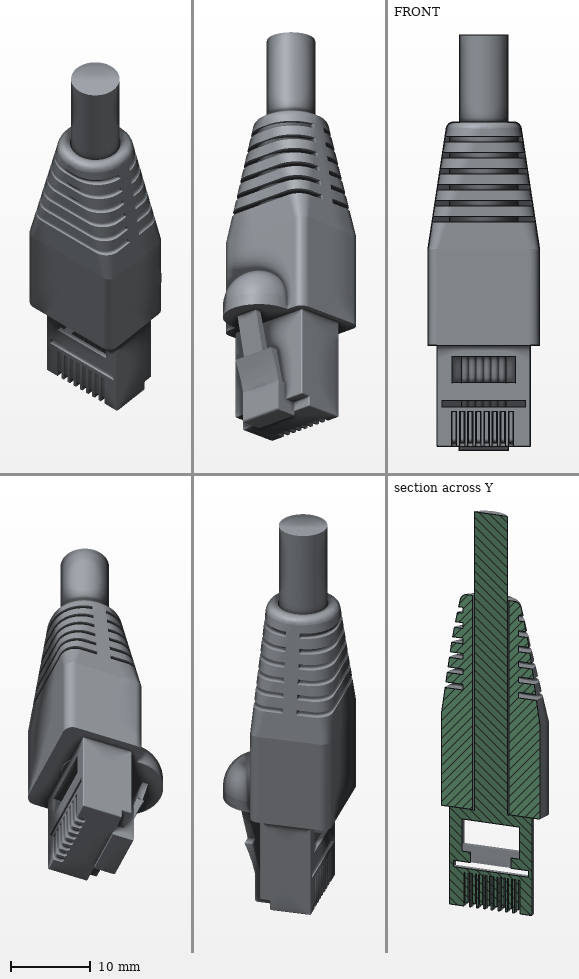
import cadquery as cq

CABLE_DIAMETER = 6.1
CABLE_TOP = 38.8

BOOT_WIDTH = 14.0
BOOT_DEPTH = 10.5
BOOT_CORNER_RADIUS = 1.25
BOOT_STRAIGHT_HEIGHT = 12.0
BOOT_TOP = 27.9
BOOT_TOP_RADIUS = 4.55
BOOT_TOP_FILLET = 0.95
BOOT_BORE_DIAMETER = 6.35
TOP_FLAT = 0.01

GROOVE_COUNT = 6
GROOVE_HEIGHT = 0.7
GROOVE_PITCH = 2.0
GROOVE_FIRST_Z = 15.45
GROOVE_CORE_DIAMETER = 8.8
SPINE_WIDTH = 1.75

OVERALL_DEPTH = 15.5
HOOD_RADIUS = 4.5
HOOD_CENTER_Y = OVERALL_DEPTH - BOOT_DEPTH / 2 - HOOD_RADIUS
HOOD_CENTER_Z = 1.45

PLUG_WIDTH = 11.7
PLUG_FRONT_Y = -2.6
PLUG_BACK_Y = 4.0
PLUG_LENGTH = 12.7
PLUG_EDGE_FILLET = 0.15
NOTCH_Y = 2.7
NOTCH_HEIGHT = 1.3

WINDOW_WIDTH = 8.0
WINDOW_TOP = -1.4
WINDOW_BOTTOM = -4.7
WINDOW_WALL = 0.55
CAVITY_BOTTOM = -5.5
CAVITY_DEPTH = 2.6
CAVITY_SIDE_RISE = 0.35
CRIMP_SLOT_WIDTH = 10.5
CRIMP_SLOT_TOP = -6.9
CRIMP_SLOT_BOTTOM = -7.7
WIRE_COUNT = 6
WIRE_PITCH = 0.95

CONTACT_COUNT = 8
CONTACT_PITCH = 1.02
CONTACT_CENTER_X = -0.15
CONTACT_WIDTH = 0.45
CONTACT_RECESS = 0.15
CONTACT_BOTTOM = -12.2
CONTACT_ROUND = 0.45
CONTACT_SLOT_WIDTH = 0.7
CONTACT_SLOT_TOP = -8.3
CONTACT_SLOT_DEPTH = 1.3

LATCH_WIDTH = 6.2
LATCH_TIP_WIDTH = 3.2
LATCH_BASE_BOTTOM = -13.15
LATCH_BASE_FRONT_Y = 2.55
LATCH_BASE_BACK_Y = 5.4
LATCH_BASE_TOP = -9.2
LATCH_BASE_ROUND = 0.35
LATCH_ROOT_Y = 4.7
LATCH_TIP_Y = (7.1, 7.9)
LATCH_BEND = (6.75, -5.15)
LATCH_CURVE_MIDDLE = (6.15, -6.65)


def block(width, y_range, z_range, center_x=0.0):
    """Box of the given X width between two Y and two Z positions."""
    depth = y_range[1] - y_range[0]
    height = z_range[1] - z_range[0]
    corner = (center_x - width / 2, y_range[0], z_range[0])
    return cq.Workplane("XY").box(width, depth, height, centered=False).translate(corner)


def rounded_outline(width, depth, radius, z):
    """Rounded rectangle as a sketch placed at height z."""
    outline = cq.Sketch().rect(width, depth).vertices().fillet(radius)
    return outline.moved(cq.Location(cq.Vector(0, 0, z)))


def make_groove(bottom_z):
    """Ring cut from the boot, leaving a round core and a spine on each side."""
    ring = block(BOOT_WIDTH, (-BOOT_DEPTH, BOOT_DEPTH), (bottom_z, bottom_z + GROOVE_HEIGHT))
    core = cq.Workplane("XY", origin=(0, 0, bottom_z)).circle(GROOVE_CORE_DIAMETER / 2).extrude(GROOVE_HEIGHT)
    spine = block(BOOT_WIDTH, (-SPINE_WIDTH / 2, SPINE_WIDTH / 2), (bottom_z, bottom_z + GROOVE_HEIGHT))
    return ring.cut(core).cut(spine)


def make_hood():
    """Arch standing on the boot's back, ending in a quarter sphere over a half cylinder."""
    arch = (
        cq.Workplane("XZ")
        .moveTo(-HOOD_RADIUS, 0)
        .lineTo(-HOOD_RADIUS, HOOD_CENTER_Z)
        .threePointArc((0, HOOD_CENTER_Z + HOOD_RADIUS), (HOOD_RADIUS, HOOD_CENTER_Z))
        .lineTo(HOOD_RADIUS, 0)
        .close()
        .extrude(-HOOD_CENTER_Y)
    )
    end_profile = (
        cq.Workplane("XZ", origin=(0, HOOD_CENTER_Y, 0))
        .lineTo(HOOD_RADIUS, 0)
        .lineTo(HOOD_RADIUS, HOOD_CENTER_Z)
        .radiusArc((0, HOOD_CENTER_Z + HOOD_RADIUS), -HOOD_RADIUS)
        .close()
    )
    end = end_profile.revolve(180, (0, 0, 0), (0, 1, 0))
    return arch.union(end)


def make_boot():
    base = (BOOT_WIDTH, BOOT_DEPTH, BOOT_CORNER_RADIUS)
    straight = (
        cq.Workplane("XY")
        .placeSketch(rounded_outline(*base, 0))
        .extrude(BOOT_STRAIGHT_HEIGHT)
    )
    top_size = 2 * BOOT_TOP_RADIUS
    taper = (
        cq.Workplane("XY")
        .placeSketch(
            rounded_outline(*base, BOOT_STRAIGHT_HEIGHT),
            rounded_outline(top_size, top_size, BOOT_TOP_RADIUS - TOP_FLAT / 2, BOOT_TOP),
        )
        .loft(ruled=True)
        .faces(">Z")
        .edges()
        .fillet(BOOT_TOP_FILLET)
    )
    for index in range(GROOVE_COUNT):
        taper = taper.cut(make_groove(GROOVE_FIRST_Z + index * GROOVE_PITCH))
    bore = cq.Workplane("XY").circle(BOOT_BORE_DIAMETER / 2).extrude(BOOT_TOP)
    return straight.union(taper).union(make_hood()).cut(bore)


def make_plug_shell():
    """Plug block with a notch for the latch base along its lower back edge."""
    shell = block(PLUG_WIDTH, (PLUG_FRONT_Y, PLUG_BACK_Y), (-PLUG_LENGTH, 0))
    notch = block(PLUG_WIDTH, (NOTCH_Y, PLUG_BACK_Y), (-PLUG_LENGTH, -PLUG_LENGTH + NOTCH_HEIGHT))
    return shell.cut(notch).edges("not >Z").fillet(PLUG_EDGE_FILLET)


def make_wire_openings():
    """Window, the cavity behind it, the crimp slot and the channel that carries the wires from
    one to the other, less the row of wires themselves."""
    floor_y = PLUG_FRONT_Y + CAVITY_DEPTH
    wires_width = WIRE_COUNT * WIRE_PITCH
    window = block(WINDOW_WIDTH, (PLUG_FRONT_Y, PLUG_FRONT_Y + WINDOW_WALL), (WINDOW_BOTTOM, WINDOW_TOP))
    cavity = (
        cq.Workplane("XY", origin=(0, 0, CAVITY_BOTTOM))
        .moveTo(-WINDOW_WIDTH / 2, PLUG_FRONT_Y + WINDOW_WALL)
        .lineTo(WINDOW_WIDTH / 2, PLUG_FRONT_Y + WINDOW_WALL)
        .lineTo(WINDOW_WIDTH / 2, floor_y - CAVITY_SIDE_RISE)
        .lineTo(wires_width / 2, floor_y)
        .lineTo(-wires_width / 2, floor_y)
        .lineTo(-WINDOW_WIDTH / 2, floor_y - CAVITY_SIDE_RISE)
        .close()
        .extrude(WINDOW_TOP - CAVITY_BOTTOM)
    )
    crimp_slot = block(CRIMP_SLOT_WIDTH, (PLUG_FRONT_Y, floor_y), (CRIMP_SLOT_BOTTOM, CRIMP_SLOT_TOP))
    channel_y = (PLUG_FRONT_Y + WINDOW_WALL, floor_y)
    channel = block(wires_width, channel_y, (CRIMP_SLOT_BOTTOM, CAVITY_BOTTOM))
    openings = window.union(cavity).union(crimp_slot).union(channel)
    for index in range(WIRE_COUNT):
        wire_x = (index - (WIRE_COUNT - 1) / 2) * WIRE_PITCH
        wire = (
            cq.Workplane("XY", origin=(wire_x, floor_y, CRIMP_SLOT_BOTTOM))
            .circle(WIRE_PITCH / 2)
            .extrude(WINDOW_TOP - CRIMP_SLOT_BOTTOM)
        )
        openings = openings.cut(wire)
    return openings


def make_contact_slot(center_x):
    """Slot open to the plug's front and lower end, with a round floor."""
    radius = CONTACT_SLOT_WIDTH / 2
    floor_y = PLUG_FRONT_Y + CONTACT_SLOT_DEPTH
    return (
        cq.Workplane("XY", origin=(center_x, 0, -PLUG_LENGTH))
        .moveTo(-radius, PLUG_FRONT_Y)
        .lineTo(-radius, floor_y - radius)
        .threePointArc((0, floor_y), (radius, floor_y - radius))
        .lineTo(radius, PLUG_FRONT_Y)
        .close()
        .extrude(PLUG_LENGTH + CONTACT_SLOT_TOP)
    )


def make_contact(center_x):
    """Contact blade standing in its slot, rounded at its lower front edge."""
    y_range = (PLUG_FRONT_Y + CONTACT_RECESS, PLUG_FRONT_Y + CONTACT_SLOT_DEPTH)
    blade = block(CONTACT_WIDTH, y_range, (CONTACT_BOTTOM, CONTACT_SLOT_TOP), center_x)
    return blade.edges("<Y and <Z").fillet(CONTACT_ROUND)


def make_latch():
    """Base around the plug's lower back edge, with a sloping lever that narrows above its bend."""
    lever_front_y, lever_back_y = LATCH_TIP_Y
    latch = (
        cq.Workplane("YZ", origin=(-LATCH_WIDTH / 2, 0, 0))
        .moveTo(LATCH_BASE_FRONT_Y, LATCH_BASE_BOTTOM)
        .lineTo(LATCH_BASE_BACK_Y, LATCH_BASE_BOTTOM)
        .lineTo(LATCH_BASE_BACK_Y, LATCH_BASE_TOP)
        .threePointArc(LATCH_CURVE_MIDDLE, LATCH_BEND)
        .lineTo(lever_back_y, 0)
        .lineTo(lever_front_y, 0)
        .lineTo(LATCH_ROOT_Y, LATCH_BASE_TOP)
        .lineTo(LATCH_BASE_FRONT_Y, LATCH_BASE_TOP)
        .close()
        .extrude(LATCH_WIDTH)
    )
    latch = latch.faces("<Z").edges(">Y").fillet(LATCH_BASE_ROUND)
    above_bend = ((PLUG_BACK_Y, lever_back_y), (LATCH_BEND[1], 0))
    side_strips = block(LATCH_WIDTH, *above_bend).cut(block(LATCH_TIP_WIDTH, *above_bend))
    return latch.cut(side_strips)


def make_plug():
    plug = make_plug_shell().cut(make_wire_openings())
    for index in range(CONTACT_COUNT):
        contact_x = CONTACT_CENTER_X + (index - (CONTACT_COUNT - 1) / 2) * CONTACT_PITCH
        plug = plug.cut(make_contact_slot(contact_x)).union(make_contact(contact_x))
    cable = cq.Workplane("XY").circle(CABLE_DIAMETER / 2).extrude(CABLE_TOP)
    return plug.union(make_latch()).union(cable)


boot = make_boot()
plug = make_plug()
result = cq.Compound.makeCompound([boot.val(), plug.val()])